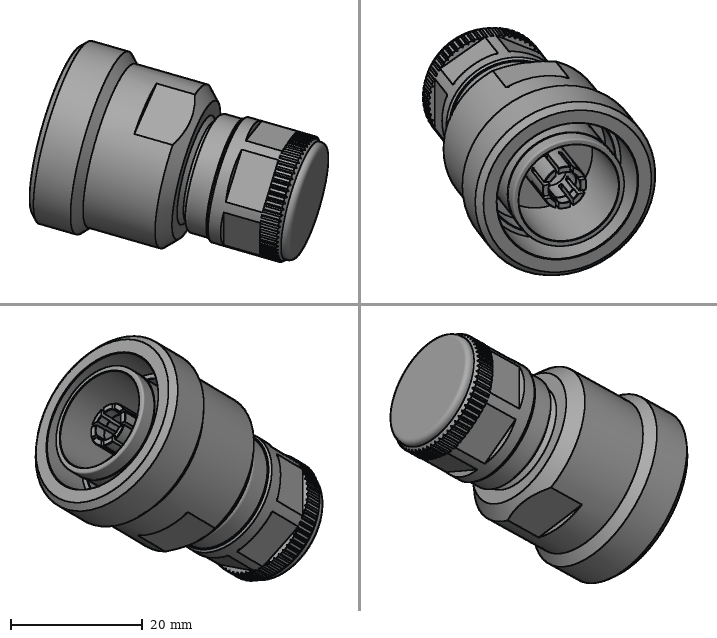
import cadquery as cq
length = 41.0

rim_x = 0.65
rim_chamfer = 1.0
rim_r = 29.0 / 2
rim_end_x = 7.65
body_r = 26.0 / 2
body_flat_start_x = 14.55
body_flat_height = 11.98
body_end_x = 22.75
body_end_bevel = 2.0

neck_r = 7.9
neck_x = 23.5
collar_x = 24.15

collar_r = 9.45
collar_fillet = 0.65
nut_x = 27.77
nut_lip_r = 9.6
nut_lip_width = 0.12
nut_r = 19.9 / 2

hex_sides = 6
hex_flat_distance = 9.02
hex_start_x = 30.45
hex_end_x = 36.35
hex_end_slope = 0.2
hex_clearance = 0.4

knurl_count = 63
knurl_depth = 0.265
knurl_half_width = 0.25
knurl_end_x = 39.17

end_cone_x = 39.8
end_r = 9.35
end_fillet = 0.8

socket_r = 11.32
socket_chamfer = 0.103
socket_step_x = 8.6
socket_inner_r = 10.45
socket_inner_chamfer = 0.1
socket_floor_x = 13.13

sleeve_r = 9.0
sleeve_fillet = 0.3
sleeve_land_end_x = 2.6
sleeve_back_r = 8.85
sleeve_bore_r = 8.05
sleeve_bore_chamfer = 0.1
sleeve_floor_x = 12.3

contact_x = 1.95
contact_r = 3.53
contact_chamfer = 0.1
contact_entry_r = 2.55
contact_entry_chamfer = 0.1
contact_bore_r = 2.45
contact_bore_x = 3.9
contact_bore_end_x = 8.2
contact_point_x = 9.65
slot_offset = 1.15
slot_width = 0.5
slot_end_x = 7.4


def turn(outline):
    """Revolve a closed (x, radius) outline about the X axis."""
    return outline.revolve(360, (0, 0, 0), (1, 0, 0))


def turned(points):
    """Revolve a straight-sided outline, given by its (x, radius) corners."""
    return turn(cq.Workplane("XY").polyline(points).close())


def outer_body():
    rim_bevel = rim_r - body_r
    nut_cone_x = nut_x + nut_lip_width
    outline = (
        cq.Workplane("XY")
        .moveTo(rim_x, 0)
        .lineTo(rim_x, rim_r - rim_chamfer)
        .lineTo(rim_x + rim_chamfer, rim_r)
        .lineTo(rim_end_x, rim_r)
        .lineTo(rim_end_x + rim_bevel, body_r)
        .lineTo(body_end_x - body_end_bevel, body_r)
        .lineTo(body_end_x, body_r - body_end_bevel)
        .lineTo(body_end_x, neck_r + neck_x - body_end_x)
        .lineTo(neck_x, neck_r)
        .lineTo(collar_x, neck_r)
        .lineTo(collar_x, collar_r - collar_fillet)
        .radiusArc((collar_x + collar_fillet, collar_r), collar_fillet)
        .lineTo(nut_x, collar_r)
        .lineTo(nut_x, nut_lip_r)
        .lineTo(nut_cone_x, nut_lip_r)
        .lineTo(nut_cone_x + nut_r - nut_lip_r, nut_r)
        .lineTo(knurl_end_x, nut_r)
        .lineTo(end_cone_x, end_r)
        .lineTo(length - end_fillet, end_r)
        .radiusArc((length, end_r - end_fillet), end_fillet)
        .lineTo(length, 0)
        .close()
    )
    return turn(outline)


def socket_space():
    """Everything in front of the socket floors, before the sleeve and contact are put back."""
    return turned([
        (0, 0),
        (0, socket_r + socket_chamfer),
        (rim_x, socket_r + socket_chamfer),
        (rim_x + socket_chamfer, socket_r),
        (socket_step_x, socket_r),
        (socket_step_x, socket_inner_r + socket_inner_chamfer),
        (socket_step_x + socket_inner_chamfer, socket_inner_r),
        (socket_floor_x, socket_inner_r),
        (socket_floor_x, 0),
    ])


def sleeve():
    outline = (
        cq.Workplane("XY")
        .moveTo(0, sleeve_bore_r + sleeve_bore_chamfer)
        .lineTo(0, sleeve_r - sleeve_fillet)
        .radiusArc((sleeve_fillet, sleeve_r), sleeve_fillet)
        .lineTo(sleeve_land_end_x, sleeve_r)
        .lineTo(sleeve_land_end_x, sleeve_back_r)
        .lineTo(socket_floor_x, sleeve_back_r)
        .lineTo(socket_floor_x, 0)
        .lineTo(sleeve_floor_x, 0)
        .lineTo(sleeve_floor_x, sleeve_bore_r)
        .lineTo(sleeve_bore_chamfer, sleeve_bore_r)
        .close()
    )
    return turn(outline)


def contact():
    """Centre pin with a pointed bore, split by two slots each way."""
    pin = turned([
        (contact_x, contact_entry_r + contact_entry_chamfer),
        (contact_x, contact_r - contact_chamfer),
        (contact_x + contact_chamfer, contact_r),
        (sleeve_floor_x, contact_r),
        (sleeve_floor_x, 0),
        (contact_point_x, 0),
        (contact_bore_end_x, contact_bore_r),
        (contact_bore_x, contact_bore_r),
        (contact_bore_x, contact_entry_r),
        (contact_x + contact_entry_chamfer, contact_entry_r),
    ])
    slot_length = slot_end_x - contact_x
    slot_middle_x = (contact_x + slot_end_x) / 2
    for side in (-slot_offset, slot_offset):
        across_y = cq.Workplane("XY").box(slot_length, 2 * contact_r, slot_width)
        across_z = cq.Workplane("XY").box(slot_length, slot_width, 2 * contact_r)
        pin = pin.cut(across_y.translate((slot_middle_x, 0, side)))
        pin = pin.cut(across_z.translate((slot_middle_x, side, 0)))
    return pin


def body_flat_cutter():
    """Two slabs that leave a pair of flats on the back part of the body, above and below."""
    flat_length = body_end_x - body_flat_start_x
    slab = cq.Workplane("XY").box(flat_length, 2 * body_r, body_r, centered=(False, True, False))
    upper = slab.translate((body_flat_start_x, 0, body_flat_height))
    return upper.union(upper.mirror("XY"))


def hex_flat_cutter():
    """Six slabs with sloping ends, the first one facing -Y."""
    outer = nut_r + hex_clearance
    flare = (outer - hex_flat_distance) * hex_end_slope / (nut_r - hex_flat_distance)
    slab = (
        cq.Workplane("XY")
        .polyline([
            (hex_start_x, -hex_flat_distance),
            (hex_end_x, -hex_flat_distance),
            (hex_end_x + flare, -outer),
            (hex_start_x - flare, -outer),
        ])
        .close()
        .extrude(nut_r / 2, both=True)
    )
    cutter = slab
    for i in range(1, hex_sides):
        cutter = cutter.union(slab.rotate((0, 0, 0), (1, 0, 0), i * 360 / hex_sides))
    return cutter


def knurl_cutter():
    """V grooves along X, spaced so that one ridge faces -Y."""
    pitch = 360 / knurl_count
    reach = nut_r + knurl_depth
    half_mouth = 2 * knurl_half_width
    groove = (
        cq.Workplane("YZ", origin=(hex_end_x, 0, 0))
        .polyline([
            (-nut_r + knurl_depth, 0),
            (-reach, half_mouth),
            (-reach, -half_mouth),
        ])
        .close()
        .extrude(end_cone_x - hex_end_x)
    )
    grooves = [
        groove.rotate((0, 0, 0), (1, 0, 0), (i + 0.5) * pitch).val()
        for i in range(knurl_count)
    ]
    return cq.Workplane("XY").newObject([cq.Compound.makeCompound(grooves)])


result = outer_body().cut(socket_space()).union(sleeve()).union(contact())
result = result.cut(body_flat_cutter()).cut(hex_flat_cutter()).cut(knurl_cutter())